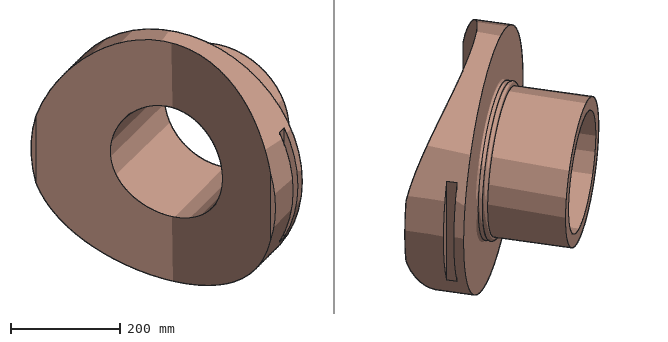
import cadquery as cq
import math

flange_radius = 250.0
flange_depth = 110.5
bore_radius = 114.5
neck_radius = 140.0
neck_length = 166.5

saddle_half_width = 240.0
center_thickness = 41.5

slot_depth = 28.0
slot_width = 19.5
slot_setback = 18.5

bead_count = 2
bead_radius = 4.5
collar_length = 20.5
collar_root_radius = 144.0
collar_fillet = 4.5


def cylinder(radius, start, end):
    """Cylinder about the Y axis between two Y positions."""
    axis_plane = cq.Plane(origin=(0, start, 0), xDir=(1, 0, 0), normal=(0, 1, 0))
    return cq.Workplane(axis_plane).circle(radius).extrude(end - start)


def weld_collar():
    """Ring revolved from a half section, with radius along X."""
    last_bead_middle = collar_length - (2 * bead_count - 1) * bead_radius
    meeting_height = math.sqrt(bead_radius**2 - (last_bead_middle - collar_fillet) ** 2)
    fillet_start = collar_root_radius + meeting_height
    fillet_center = fillet_start + collar_fillet
    diagonal = collar_fillet * math.sqrt(0.5)
    crest = collar_root_radius + bead_radius

    profile = cq.Workplane("XY").moveTo(bore_radius, collar_length).lineTo(collar_root_radius, collar_length)
    for index in range(bead_count):
        middle = collar_length - (2 * index + 1) * bead_radius
        profile = profile.threePointArc(
            (collar_root_radius + bead_radius * math.sqrt(0.5), middle + bead_radius * math.sqrt(0.5)),
            (crest, middle),
        )
        if index < bead_count - 1:
            profile = profile.radiusArc((collar_root_radius, middle - bead_radius), bead_radius)
    return (
        profile.radiusArc((fillet_start, collar_fillet), bead_radius)
        .threePointArc((fillet_center - diagonal, collar_fillet - diagonal), (fillet_center, 0))
        .lineTo(bore_radius, 0)
        .close()
        .revolve(360, (0, 0, 0), (0, 1, 0))
    )


def saddle_cutter():
    """Cylinder along Z whose surface meets the front lands at the saddle edges."""
    sag = flange_depth - center_thickness
    saddle_radius = (saddle_half_width**2 + sag**2) / (2 * sag)
    return (
        cq.Workplane("XY")
        .center(0, -center_thickness - saddle_radius)
        .circle(saddle_radius)
        .extrude(flange_radius, both=True)
    )


def side_slot(side):
    """Slot cutter for the +X (side = 1) or -X (side = -1) edge."""
    slot_middle = -slot_setback - slot_width / 2
    return cq.Workplane("XY").box(2 * slot_depth, slot_width, 2 * flange_radius).translate(
        (side * flange_radius, slot_middle, 0)
    )


flange = cylinder(flange_radius, -flange_depth, 0).cut(saddle_cutter())
for side in (-1, 1):
    flange = flange.cut(side_slot(side))

neck = cylinder(neck_radius, -center_thickness / 2, neck_length)
bore = cylinder(bore_radius, -flange_depth, neck_length)
result = flange.union(neck).union(weld_collar()).cut(bore)